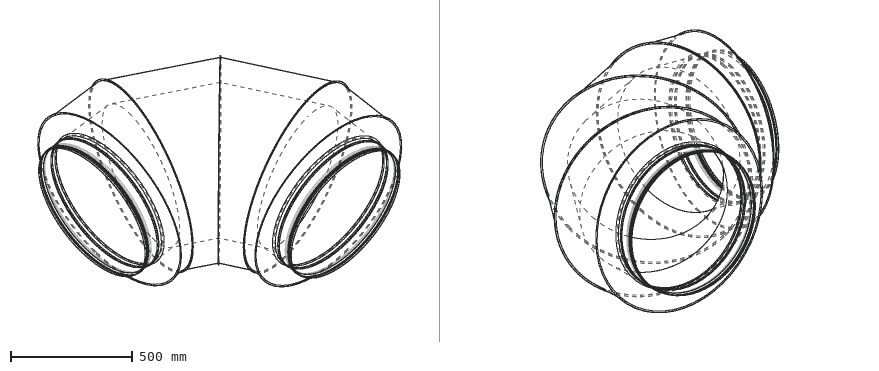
import cadquery as cq
import math


OVERALL = 1161.0
LIP_DIA = 845.0
JACKET_DIA = 832.0
BORE_DIA = 628.0
BEND_RADIUS = 624.0
SEAM_COUNT = 3
LIP_WIDTH = 1.0
SPIGOT_LENGTH = 101.0
SPIGOT_DIA = 628.0
SHEET = 1.0

COLLAR_LENGTH = 8.0
COLLAR_RISE = 8.0
BEAD_CENTRE = 27.0
BEAD_WIDTH = 9.0
BEAD_RISE = 3.0
TAPER_START = 66.0
TAPER_DEPTH = 1.0
GROOVE_START = 73.0
GROOVE_CENTRE = 78.0
GROOVE_DEPTH = 3.0
RIDGE_START = 85.0
RIDGE_END = 88.0
RIDGE_RISE = 2.0
RIM_START = 93.0

AXIS_REACH = OVERALL - LIP_DIA / 2
FACE_REACH = AXIS_REACH - SPIGOT_LENGTH
HALF_TURN = math.radians(90 / SEAM_COUNT / 2)
BEND_CENTRE = cq.Vector(BEND_RADIUS, -BEND_RADIUS, 0)
SEAM_ANGLES = [math.pi - HALF_TURN, math.pi - 3 * HALF_TURN]
CLEAR = 2 * OVERALL


def radial_point(angle, distance):
    """Point in the bend plane at an angle and distance from the bend centre."""
    return BEND_CENTRE + cq.Vector(math.cos(angle), math.sin(angle), 0) * distance


def cylinder(diameter, middle, direction):
    """Long cylinder through a point, reaching past the part at both ends."""
    section = cq.Workplane(cq.Plane(middle, normal=direction)).circle(diameter / 2)
    return section.extrude(CLEAR / 2, both=True)


def prism(points):
    """Outline in the bend plane, extended past the part above and below."""
    return cq.Workplane("XY").polyline([(p.x, p.y) for p in points]).close().extrude(OVERALL, both=True)


def seam_band(angle):
    """Thin slab that covers the lips on both sides of one seam."""
    along = radial_point(angle, 12) - BEND_CENTRE
    plane = cq.Plane(BEND_CENTRE, xDir=along, normal=(0, 0, 1))
    return cq.Workplane(plane).box(2 * CLEAR, 2 * LIP_WIDTH, CLEAR)


def segment(middle, direction, room, lip_bands):
    """Thick tube trimmed to its room, with a lip inside each band."""
    body = cylinder(JACKET_DIA, middle, direction).intersect(room)
    lip_stock = cylinder(LIP_DIA, middle, direction).intersect(room)
    for band in lip_bands:
        body = body.union(lip_stock.intersect(band))
    return body.cut(cylinder(BORE_DIA, middle, direction))


def end_segment():
    """Inlet segment, from the square end face to the first seam."""
    room = prism([
        BEND_CENTRE,
        radial_point(SEAM_ANGLES[0], CLEAR),
        cq.Vector(-CLEAR, -FACE_REACH, 0),
        cq.Vector(BEND_RADIUS, -FACE_REACH, 0),
    ])
    face_band = cq.Workplane("XY").box(CLEAR, 2 * LIP_WIDTH, CLEAR).translate((0, -FACE_REACH, 0))
    lip_bands = [face_band, seam_band(SEAM_ANGLES[0])]
    return segment(cq.Vector(0, -FACE_REACH, 0), cq.Vector(0, 1, 0), room, lip_bands)


def middle_segment():
    """Segment between the first seam and the middle seam."""
    room = prism([BEND_CENTRE] + [radial_point(angle, CLEAR) for angle in SEAM_ANGLES])
    axis_ends = [radial_point(angle, BEND_RADIUS / math.cos(HALF_TURN)) for angle in SEAM_ANGLES]
    direction = axis_ends[1] - axis_ends[0]
    return segment(axis_ends[0], direction, room, [seam_band(angle) for angle in SEAM_ANGLES])


def spigot():
    """Inlet spigot: sheet tube with a collar, a bead, and a groove and ridge near the rim."""
    radius = SPIGOT_DIA / 2
    outer = [
        (radius + COLLAR_RISE, 0),
        (radius, COLLAR_LENGTH),
        (radius, BEAD_CENTRE - BEAD_WIDTH / 2),
        (radius + BEAD_RISE, BEAD_CENTRE),
        (radius, BEAD_CENTRE + BEAD_WIDTH / 2),
        (radius, TAPER_START),
        (radius - TAPER_DEPTH, GROOVE_START),
        (radius - GROOVE_DEPTH, GROOVE_CENTRE),
        (radius + RIDGE_RISE, RIDGE_START),
        (radius + RIDGE_RISE, RIDGE_END),
        (radius, RIM_START),
        (radius, SPIGOT_LENGTH),
    ]
    inner = [(r - SHEET, distance) for r, distance in reversed(outer[1:])]
    inner.append((radius - SHEET, 0))
    outline = [(r, -FACE_REACH - distance) for r, distance in outer + inner]
    return cq.Workplane("XY").polyline(outline).close().revolve(360, (0, 0, 0), (0, 1, 0))


inlet_half = [end_segment(), middle_segment(), spigot()]
outlet_half = [body.mirror(cq.Vector(1, 1, 0)) for body in inlet_half]

result = cq.Compound.makeCompound([body.val() for body in inlet_half + outlet_half])